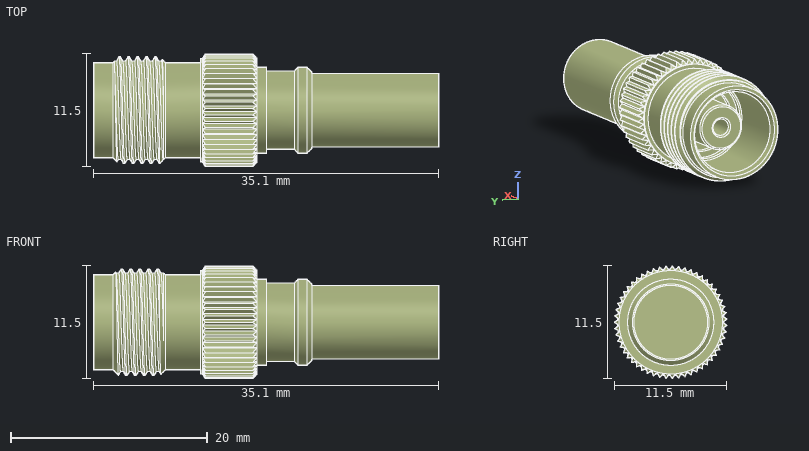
import cadquery as cq
import math

total_length = 35.13
mouth_x = -total_length / 2

body_radius = 4.85
collar_start = 10.9
collar_radius = 5.27
collar_end = 16.65
shoulder_end = 17.6
shoulder_radius = 4.4
neck_radius = 4.0
ring_start = 20.45
ring_end = 22.2
ring_radius = shoulder_radius
ring_front_chamfer = 0.35
ring_rear_chamfer = 0.5
tail_radius = 3.75

thread_start = 1.95
thread_end = 7.3
thread_pitch = 0.9
thread_crest_radius = 5.45
thread_root_radius = 5.02
thread_crest_flat = 0.15
thread_flank_angle = 30
sleeve_overlap = 0.35
thread_chamfer = thread_crest_radius - body_radius
groove_start = 1.95
groove_turns = 6
groove_overshoot = 0.07

knurl_count = 55
knurl_tip_radius = 5.745
knurl_root_radius = 5.3
knurl_start = 11.05
knurl_front_chamfer = 0.3
knurl_rear_chamfer = 0.45

mouth_radius = 4.45
bore_radius = 4.18
mouth_chamfer_depth = 0.5
bore_depth = 7.73
inner_step_radius = 3.97
inner_step_depth = 8.43
floor_radius = 3.35
floor_depth = 9.15

post_radius = 2.32
post_face_depth = 3.3
post_chamfer = 0.18
contact_mouth_radius = 1.02
contact_radius = 0.85
contact_depth = 4.2
drill_tip_angle = 59


def revolve_profile(points):
    """Solid of revolution about X; points are (distance from mouth, radius)."""
    placed = [(mouth_x + x, radius) for x, radius in points]
    return cq.Workplane("XY").polyline(placed).close().revolve(360, (0, 0), (1, 0))


def make_body():
    return revolve_profile([
        (0, 0),
        (0, body_radius),
        (collar_start, body_radius),
        (collar_start, collar_radius),
        (collar_end, collar_radius),
        (collar_end, shoulder_radius),
        (shoulder_end, shoulder_radius),
        (shoulder_end, neck_radius),
        (ring_start, neck_radius),
        (ring_start + ring_front_chamfer, ring_radius),
        (ring_end - ring_rear_chamfer, ring_radius),
        (ring_end, ring_radius - ring_rear_chamfer),
        (ring_end, tail_radius),
        (total_length, tail_radius),
        (total_length, 0),
    ])


def make_helical_bar(section, pitch, turns):
    """Solid bar wound right-handed about Z; section corners are (radius, offset along Z)."""
    height = pitch * turns
    edges = [
        cq.Wire.makeHelix(pitch, height, radius).translate(cq.Vector(0, 0, offset))
        for radius, offset in section
    ]
    sides = [
        cq.Face.makeRuledSurface(edge, edges[(i + 1) % len(edges)])
        for i, edge in enumerate(edges)
    ]
    corners = [cq.Vector(radius, 0, offset) for radius, offset in section]
    start_cap = cq.Face.makeFromWires(cq.Wire.makePolygon(corners, close=True))
    end_cap = (
        start_cap
        .rotate(cq.Vector(0, 0, 0), cq.Vector(0, 0, 1), 360 * turns)
        .translate(cq.Vector(0, 0, height))
    )
    shell = cq.Shell.makeShell(sides + [start_cap, end_cap])
    return cq.Workplane(cq.Solid.makeSolid(shell))


def make_thread():
    """Chamfered sleeve with a right-handed trapezoidal groove running off both ends."""
    sleeve_inner_radius = body_radius - sleeve_overlap
    sleeve = revolve_profile([
        (thread_start, sleeve_inner_radius),
        (thread_start, body_radius),
        (thread_start + thread_chamfer, thread_crest_radius),
        (thread_end - thread_chamfer, thread_crest_radius),
        (thread_end, body_radius),
        (thread_end, sleeve_inner_radius),
    ])
    sleeve = sleeve.rotate((0, 0, 0), (1, 0, 0), 180)
    slope = math.tan(math.radians(thread_flank_angle))
    half_crest_gap = (thread_pitch - thread_crest_flat) / 2
    half_root = half_crest_gap - slope * (thread_crest_radius - thread_root_radius)
    half_mouth = half_crest_gap + slope * groove_overshoot
    groove_outer_radius = thread_crest_radius + groove_overshoot
    section = [
        (thread_root_radius, -half_root),
        (groove_outer_radius, -half_mouth),
        (groove_outer_radius, half_mouth),
        (thread_root_radius, half_root),
    ]
    groove = (
        make_helical_bar(section, thread_pitch, groove_turns)
        .rotate((0, 0, 0), (0, 1, 0), 90)
        .translate((mouth_x + groove_start, 0, 0))
    )
    return sleeve.cut(groove)


def make_knurl():
    """Ring of pointed teeth with one tip facing -Y, chamfered at both ends."""
    half_tooth = math.pi / knurl_count
    outline = []
    for i in range(2 * knurl_count):
        radius = knurl_tip_radius if i % 2 == 0 else knurl_root_radius
        angle = math.pi + i * half_tooth
        outline.append((radius * math.cos(angle), radius * math.sin(angle)))
    teeth = (
        cq.Workplane("YZ", origin=(mouth_x + knurl_start, 0, 0))
        .polyline(outline)
        .close()
        .extrude(collar_end - knurl_start)
    )
    envelope = revolve_profile([
        (knurl_start, 0),
        (knurl_start, collar_radius),
        (knurl_start + knurl_front_chamfer, knurl_tip_radius),
        (collar_end - knurl_rear_chamfer, knurl_tip_radius),
        (collar_end, collar_radius),
        (collar_end, 0),
    ])
    return teeth.intersect(envelope)


def make_socket():
    """Stepped annular cavity that leaves the insulator post standing."""
    return revolve_profile([
        (0, 0),
        (0, mouth_radius),
        (mouth_chamfer_depth, bore_radius),
        (bore_depth, bore_radius),
        (bore_depth, inner_step_radius),
        (inner_step_depth, inner_step_radius),
        (inner_step_depth, floor_radius),
        (floor_depth, floor_radius),
        (floor_depth, post_radius),
        (post_face_depth + post_chamfer, post_radius),
        (post_face_depth, post_radius - post_chamfer),
        (post_face_depth, 0),
    ])


def make_contact_hole():
    """Countersunk blind hole with a conical drill tip."""
    countersink_depth = contact_mouth_radius - contact_radius
    hole_end = post_face_depth + contact_depth
    tip_length = contact_radius / math.tan(math.radians(drill_tip_angle))
    return revolve_profile([
        (post_face_depth, 0),
        (post_face_depth, contact_mouth_radius),
        (post_face_depth + countersink_depth, contact_radius),
        (hole_end, contact_radius),
        (hole_end + tip_length, 0),
    ])


result = (
    make_body()
    .union(make_thread())
    .union(make_knurl())
    .cut(make_socket())
    .cut(make_contact_hole())
)